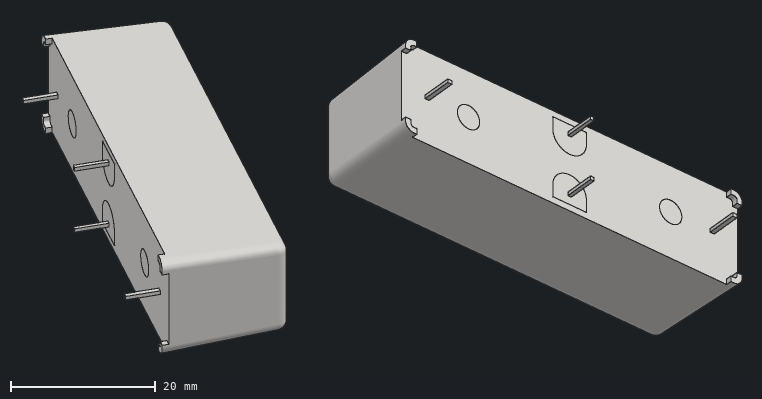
import cadquery as cq
import math


housing_length = 60.0
housing_height = 15.8
body_depth = 17.4
end_draft = 1.0
side_draft = 2.0
edge_radius = 1.5

foot_standoff = 0.95
foot_wall = 0.95
foot_leg = 2.05
foot_inner_radius = edge_radius - foot_wall

insert_depth = 0.9
disc_radius = 2.0
disc_offset = 18.0
plate_width = 6.0
plate_radius = plate_width / 2
plate_arc_offset = 4.75
plate_flat_offset = 6.8

pin_length = 5.0
pin_thickness = 0.6
end_pin_width = 0.7
end_pin_offset = 25.4
middle_pin_offset = 5.1


def face_plane(y):
    """Plane parallel to the mounting face, with its normal towards +Y and local y along -Z."""
    return cq.Workplane(cq.Plane(origin=(0, y, 0), xDir=(1, 0, 0), normal=(0, 1, 0)))


def make_block():
    """Drafted block with rounded long corners and a rounded back."""
    depth = body_depth + foot_standoff
    back_length = housing_length - 2 * depth * math.tan(math.radians(end_draft))
    back_height = housing_height - 2 * depth * math.tan(math.radians(side_draft))
    block = (
        face_plane(-foot_standoff)
        .rect(housing_length, housing_height)
        .workplane(offset=depth)
        .rect(back_length, back_height)
        .loft(ruled=True)
    )
    return block.edges("not <Y").fillet(edge_radius)


def make_foot_clearance():
    """Everything in front of the mounting face except the four corner feet."""
    front = face_plane(-foot_standoff)
    between_ends = front.rect(housing_length - 2 * foot_leg, housing_height).extrude(foot_standoff)
    between_sides = front.rect(housing_length, housing_height - 2 * foot_leg).extrude(foot_standoff)
    inside_feet = (
        front.rect(housing_length - 2 * foot_wall, housing_height - 2 * foot_wall)
        .extrude(foot_standoff)
        .edges("|Y")
        .fillet(foot_inner_radius)
    )
    return between_ends.union(between_sides).union(inside_feet)


def make_disc(side):
    """Round insert on the +X (side = 1) or -X (side = -1) half of the mounting face."""
    return face_plane(0).center(side * disc_offset, 0).circle(disc_radius).extrude(insert_depth)


def make_plate(side):
    """D-shaped insert with its flat edge outwards, towards +Z (side = 1) or -Z (side = -1)."""
    flat = -side * plate_flat_offset
    arc_centre = -side * plate_arc_offset
    arc_tip = -side * (plate_arc_offset - plate_radius)
    return (
        face_plane(0)
        .moveTo(-plate_radius, flat)
        .lineTo(plate_radius, flat)
        .lineTo(plate_radius, arc_centre)
        .threePointArc((0, arc_tip), (-plate_radius, arc_centre))
        .close()
        .extrude(insert_depth)
    )


def make_pin(x, z, width):
    """Straight rectangular pin standing on the mounting face."""
    return face_plane(0).center(x, -z).rect(width, pin_thickness).extrude(-pin_length)


sides = (-1, 1)
discs = [make_disc(side) for side in sides]
plates = [make_plate(side) for side in sides]
end_pins = [make_pin(side * end_pin_offset, 0, end_pin_width) for side in sides]
middle_pins = [make_pin(0, side * middle_pin_offset, pin_thickness) for side in sides]

housing = make_block().cut(make_foot_clearance())
for insert in discs + plates:
    housing = housing.cut(insert)

bodies = [housing] + discs + plates + end_pins + middle_pins
result = cq.Compound.makeCompound([body.solids().val() for body in bodies])